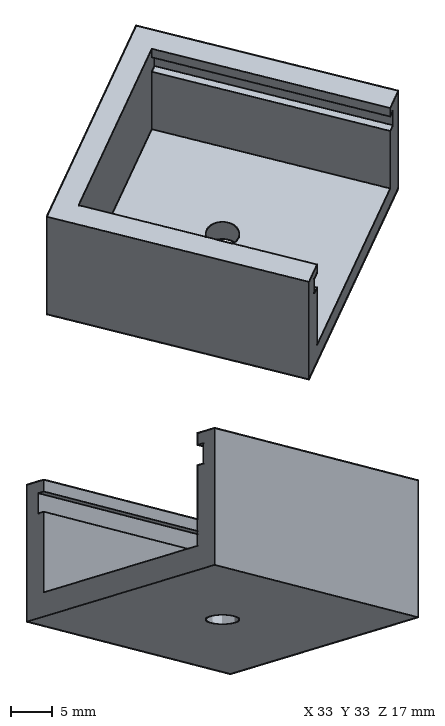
import cadquery as cq

side = 33.0
height = 17.0

wall = 3.0
floor = 3.0
lip_height = 1.5
groove_height = 2.5
groove_depth = 1.0
hole_diameter = 4.0

inner_length = side - wall
inner_width = side - 2 * wall
cavity_start = -side / 2 + wall


def open_ended_cut(width, bottom, cut_height):
    """Box centred on Y, running from the closed end wall out through the +X side."""
    return (
        cq.Workplane("XY")
        .box(inner_length, width, cut_height, centered=(False, True, False))
        .translate((cavity_start, 0, bottom))
    )


body = cq.Workplane("XY").box(side, side, height, centered=(True, True, False))

cavity = open_ended_cut(inner_width, floor, height - floor)

groove_bottom = height - lip_height - groove_height
grooves = open_ended_cut(inner_width + 2 * groove_depth, groove_bottom, groove_height)

floor_hole = cq.Workplane("XY").circle(hole_diameter / 2).extrude(floor)

result = body.cut(cavity).cut(grooves).cut(floor_hole)